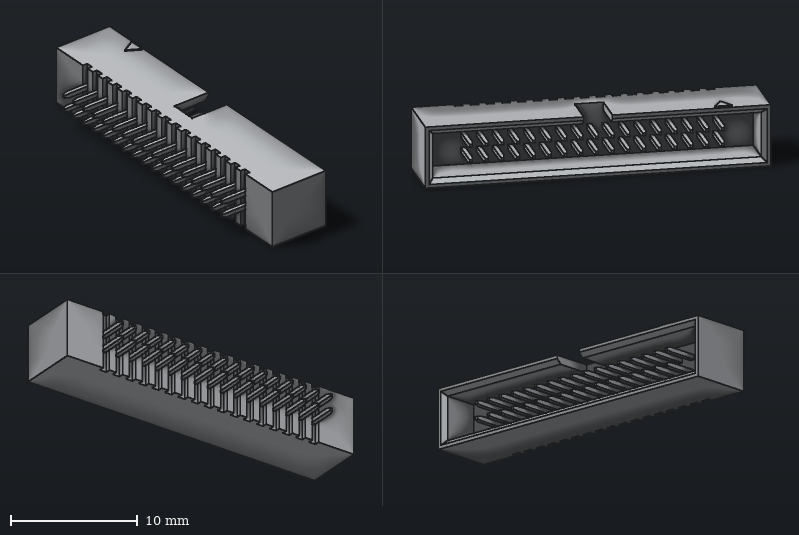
import cadquery as cq
import math


body_length = 27.9
body_depth = 5.35
body_height = 5.08
wall = 0.7
cavity_depth = 3.43
mouth_chamfer = 0.4

notch_width = 2.31

pins_per_row = 17
row_span = 20.33
pitch = row_span / (pins_per_row - 1)
pin_width = 0.4
pin_tip_width = 0.22
pin_tip_length = 0.42
pin_tail = 2.15
pin_recess = 0.4

groove_width = 0.6
groove_depth = 0.42

marker_side = 1.4
marker_height = 0.1
marker_inset = 0.2

column_xs = [(i - (pins_per_row - 1) / 2) * pitch for i in range(pins_per_row)]
row_zs = [-pitch / 2, pitch / 2]
top_z = body_height / 2
cavity_floor_y = body_depth - cavity_depth


def block(x_size, y_start, y_end, z_size):
    """Box centred on X and Z, spanning y_start to y_end."""
    return (
        cq.Workplane("XY")
        .box(x_size, y_end - y_start, z_size, centered=(True, False, True))
        .translate((0, y_start, 0))
    )


def make_housing():
    """Outer block with the plug cavity and its flared mouth."""
    cavity_length = body_length - 2 * wall
    cavity_height = body_height - 2 * wall
    cavity = block(cavity_length, cavity_floor_y, body_depth, cavity_height)
    flare = (
        cq.Workplane("XZ", origin=(0, body_depth, 0))
        .rect(cavity_length + 2 * mouth_chamfer, cavity_height + 2 * mouth_chamfer)
        .workplane(offset=mouth_chamfer)
        .rect(cavity_length, cavity_height)
        .loft(ruled=True)
    )
    return block(body_length, 0, body_depth, body_height).cut(cavity).cut(flare)


def make_notch():
    """Slot through the top wall, as deep as the cavity."""
    return block(notch_width, cavity_floor_y, body_depth, wall).translate((0, 0, top_z - wall / 2))


def make_groove(x):
    return block(groove_width, 0, groove_depth, body_height).translate((x, 0, 0))


def add_tip(pin, end_face):
    """Extend one end of a pin with a square taper."""
    return (
        pin.faces(end_face)
        .workplane()
        .rect(pin_width, pin_width)
        .workplane(offset=pin_tip_length)
        .rect(pin_tip_width, pin_tip_width)
        .loft(ruled=True)
    )


def make_pin():
    """Square pin along Y with a tapered tip at each end."""
    shank_start = pin_tip_length - pin_tail
    shank_end = body_depth - pin_recess - pin_tip_length
    shank = block(pin_width, shank_start, shank_end, pin_width)
    return add_tip(add_tip(shank, ">Y"), "<Y")


def make_marker():
    """Triangle on the top face, pointing toward the pin 1 tail."""
    base_y = body_depth - marker_inset
    tip_y = base_y - marker_side * math.sqrt(3) / 2
    x = column_xs[0]
    return (
        cq.Workplane("XY", origin=(0, 0, top_z))
        .polyline([(x - marker_side / 2, base_y), (x + marker_side / 2, base_y), (x, tip_y)])
        .close()
        .extrude(marker_height)
    )


result = make_housing().cut(make_notch()).union(make_marker())
for x in column_xs:
    result = result.cut(make_groove(x))

pin = make_pin()
for x in column_xs:
    for z in row_zs:
        result = result.union(pin.translate((x, 0, z)))